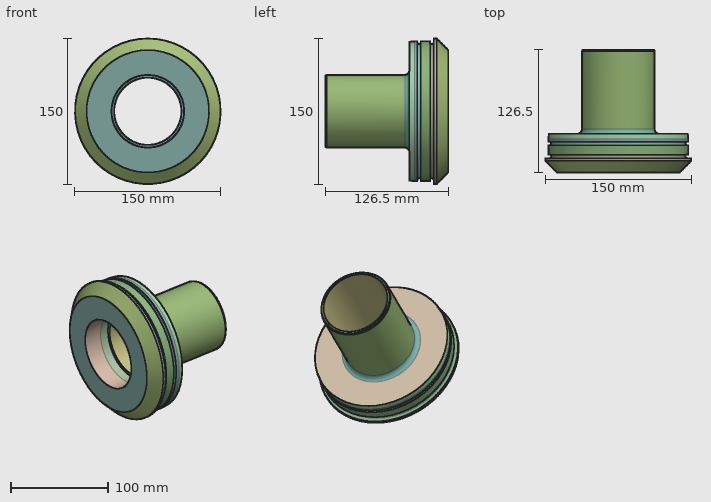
import cadquery as cq

total_length = 126.5

rim_radius = 75.0
nose_chamfer = 12.0
rim_end = 15.0
land_radius = 144.2 / 2
flange_end = 40.0
lead_in_length = 5.0
lead_in_drop = 0.5

groove_depth = 3.0
rim_groove_width = 3.6
rear_groove_width = 3.3
rear_groove_start = 28.4

tube_radius = 37.5
root_fillet = 5.0
tube_end_chamfer_length = 1.5
tube_end_chamfer_drop = 0.8

through_radius = 69.0 / 2
counterbore_radius = 37.5
counterbore_depth = 30.0
taper_start = 20.0
taper_drop = 0.2


def cut_groove(outline, start, width):
    """Continue the outline through a groove with straight walls and a semicircular bottom."""
    bottom_radius = land_radius - groove_depth
    wall_radius = bottom_radius + width / 2
    return (
        outline.lineTo(wall_radius, start)
        .threePointArc((bottom_radius, start + width / 2), (wall_radius, start + width))
        .lineTo(land_radius, start + width)
    )


outline = (
    cq.Workplane("ZY")
    .moveTo(counterbore_radius, 0)
    .lineTo(rim_radius - nose_chamfer, 0)
    .lineTo(rim_radius, nose_chamfer)
    .lineTo(rim_radius, rim_end)
)
outline = cut_groove(outline, rim_end, rim_groove_width)
outline = outline.lineTo(land_radius, rear_groove_start)
outline = cut_groove(outline, rear_groove_start, rear_groove_width)
outline = (
    outline.lineTo(land_radius, flange_end - lead_in_length)
    .lineTo(land_radius - lead_in_drop, flange_end)
    .lineTo(tube_radius + root_fillet, flange_end)
    .radiusArc((tube_radius, flange_end + root_fillet), root_fillet)
    .lineTo(tube_radius, total_length - tube_end_chamfer_length)
    .lineTo(tube_radius - tube_end_chamfer_drop, total_length)
    .lineTo(through_radius, total_length)
    .lineTo(through_radius, counterbore_depth)
    .lineTo(counterbore_radius - taper_drop, counterbore_depth)
    .lineTo(counterbore_radius, taper_start)
    .close()
)

result = outline.revolve(360, (0, 0, 0), (0, 1, 0))